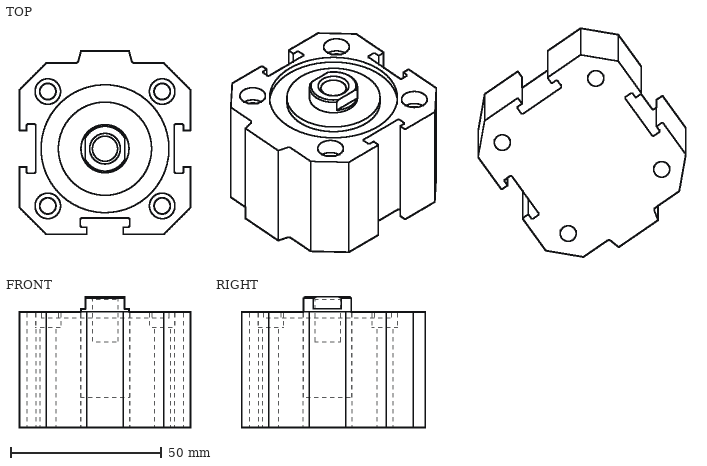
import cadquery as cq
import math

BLOCK_WIDTH = 57.0
BLOCK_HEIGHT = 38.5
CORNER_BEVEL = 8.95
HALF_WIDTH = BLOCK_WIDTH / 2

TOTAL_LENGTH = 61.0
RIB_HEIGHT = TOTAL_LENGTH - BLOCK_WIDTH
RIB_TOP_WIDTH = 16.0
RIB_TAPER_ANGLE = 15.0
RIB_ROOT_RADIUS = 1.0

SLOT_MOUTH_WIDTH = 12.0
SLOT_INNER_WIDTH = 16.3
SLOT_LIP_THICKNESS = 2.45
SLOT_DEPTH = 5.4
SLOT_INNER_RADIUS = 0.5
SLOT_MOUTH_RADIUS = 0.2

HOLE_SPACING = 38.0
HOLE_DIAMETER = 5.3
COUNTERBORE_DIAMETER = 8.5
COUNTERBORE_DEPTH = 5.2

RECESS_DIAMETER = 42.5
BOSS_DIAMETER = 31.0
RECESS_DEPTH = 2.0

TOTAL_HEIGHT = 43.5
ROD_DIAMETER = 16.0
ROD_BORE_FLOOR = 10.0
ROD_LENGTH = TOTAL_HEIGHT - ROD_BORE_FLOOR
ROD_END_CHAMFER = 0.55
FLATS_WIDTH = 13.0
FLATS_HEIGHT = 4.0
ROD_HOLE_DIAMETER = 8.35
ROD_HOLE_MOUTH_DIAMETER = 10.2
ROD_HOLE_DEPTH = 15.0


def make_block():
    """Square block with its four upright corners bevelled."""
    block = cq.Workplane("XY").rect(BLOCK_WIDTH, BLOCK_WIDTH).extrude(BLOCK_HEIGHT)
    return block.edges("|Z").chamfer(CORNER_BEVEL)


def add_rib(body):
    """Full-height rib on the +Y side, narrowing outwards, with rounded root corners."""
    half_top = RIB_TOP_WIDTH / 2
    half_root = half_top + RIB_HEIGHT * math.tan(math.radians(RIB_TAPER_ANGLE))
    rib_end = HALF_WIDTH + RIB_HEIGHT
    rib = (
        cq.Workplane("XY")
        .moveTo(-half_root, 0)
        .lineTo(-half_root, HALF_WIDTH)
        .lineTo(-half_top, rib_end)
        .lineTo(half_top, rib_end)
        .lineTo(half_root, HALF_WIDTH)
        .lineTo(half_root, 0)
        .close()
        .extrude(BLOCK_HEIGHT)
    )
    root_points = [(-half_root, HALF_WIDTH, 0), (half_root, HALF_WIDTH, 0)]
    return fillet_upright_edges(body.union(rib), root_points, RIB_ROOT_RADIUS)


def fillet_upright_edges(body, base_points, radius):
    """Round the upright edges of the body that start at the given base points."""
    for point in base_points:
        edge_middle = (point[0], point[1], BLOCK_HEIGHT / 2)
        body = body.edges(cq.selectors.NearestToPointSelector(edge_middle)).fillet(radius)
    return body


def make_slot_cutter():
    """T-shaped cutter for the -Y side, with rounded inner corners and a slightly flared mouth."""
    half_mouth = SLOT_MOUTH_WIDTH / 2
    half_inner = SLOT_INNER_WIDTH / 2
    outside = -HALF_WIDTH
    lip = outside + SLOT_LIP_THICKNESS
    floor = outside + SLOT_DEPTH
    flare = SLOT_MOUTH_RADIUS
    cutter = (
        cq.Workplane("XY")
        .moveTo(-half_mouth - flare, outside)
        .radiusArc((-half_mouth, outside + flare), -flare)
        .lineTo(-half_mouth, lip)
        .lineTo(-half_inner, lip)
        .lineTo(-half_inner, floor)
        .lineTo(half_inner, floor)
        .lineTo(half_inner, lip)
        .lineTo(half_mouth, lip)
        .lineTo(half_mouth, outside + flare)
        .radiusArc((half_mouth + flare, outside), -flare)
        .close()
        .extrude(BLOCK_HEIGHT)
    )
    corners = [(side * half_inner, row) for side in (-1, 1) for row in (lip, floor)]
    return fillet_upright_edges(cutter, corners, SLOT_INNER_RADIUS)


def cut_slots(body):
    """T-slots on the -Y, -X and +X sides."""
    cutter = make_slot_cutter()
    for angle in (-90, 0, 90):
        body = body.cut(cutter.rotate((0, 0, 0), (0, 0, 1), angle))
    return body


def cut_mounting_holes(body):
    """Counterbored through holes on a square pattern."""
    return (
        body.faces(">Z")
        .workplane(origin=(0, 0, BLOCK_HEIGHT))
        .rect(HOLE_SPACING, HOLE_SPACING, forConstruction=True)
        .vertices()
        .cboreHole(HOLE_DIAMETER, COUNTERBORE_DIAMETER, COUNTERBORE_DEPTH)
    )


def cut_top_recess(body):
    """Ring-shaped recess that leaves the boss standing."""
    ring = (
        cq.Workplane("XY", origin=(0, 0, BLOCK_HEIGHT - RECESS_DEPTH))
        .circle(RECESS_DIAMETER / 2)
        .circle(BOSS_DIAMETER / 2)
        .extrude(RECESS_DEPTH)
    )
    return body.cut(ring)


def cut_rod_bore(body):
    """Blind bore that holds the rod."""
    bore = (
        cq.Workplane("XY", origin=(0, 0, ROD_BORE_FLOOR))
        .circle(ROD_DIAMETER / 2)
        .extrude(BLOCK_HEIGHT - ROD_BORE_FLOOR)
    )
    return body.cut(bore)


def make_housing():
    body = add_rib(make_block())
    body = cut_slots(body)
    body = cut_mounting_holes(body)
    body = cut_top_recess(body)
    return cut_rod_bore(body)


def make_rod():
    """Round rod with a chamfered end, two wrench flats and a countersunk blind hole."""
    rod = (
        cq.Workplane("XY", origin=(0, 0, ROD_BORE_FLOOR))
        .circle(ROD_DIAMETER / 2)
        .extrude(ROD_LENGTH)
        .faces(">Z")
        .chamfer(ROD_END_CHAMFER)
    )
    flats = (
        cq.Workplane("XY", origin=(0, 0, TOTAL_HEIGHT - FLATS_HEIGHT))
        .circle(ROD_DIAMETER)
        .rect(FLATS_WIDTH, ROD_DIAMETER)
        .extrude(FLATS_HEIGHT)
    )
    rod = rod.cut(flats)
    return (
        rod.faces(">Z")
        .workplane(origin=(0, 0, TOTAL_HEIGHT))
        .cskHole(ROD_HOLE_DIAMETER, ROD_HOLE_MOUTH_DIAMETER, 90, depth=ROD_HOLE_DEPTH)
    )


housing = make_housing()
rod = make_rod()

result = cq.Compound.makeCompound([housing.val(), rod.val()])